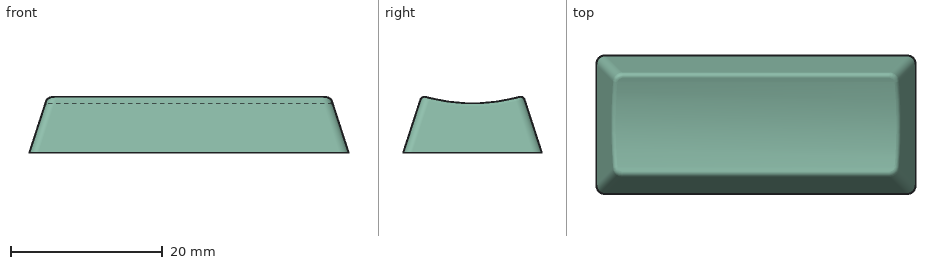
import cadquery as cq

base_length = 42.11
base_width = 18.3
wall_draft = 18.0
corner_radius = 1.25

dish_floor_height = 6.53
dish_radius = 23.0

rim_radius = 0.6

blank_height = 9.0


def tapered_blank():
    """Block with drafted walls and rounded corner edges."""
    block = (
        cq.Workplane("XY")
        .rect(base_length, base_width)
        .extrude(blank_height, taper=wall_draft)
    )
    return block.edges("not(#Z)").fillet(corner_radius)


def dish_cutter():
    """Cylinder that hollows the top."""
    circle_plane = cq.Plane(
        origin=(-base_length / 2, 0, dish_floor_height + dish_radius),
        normal=(1, 0, 0),
    )
    return cq.Workplane(circle_plane).circle(dish_radius).extrude(base_length)


def round_rim(body):
    """Round all the edges that border the dish."""
    dish_center = (0, 0, dish_floor_height)
    dish_faces = body.faces(cq.selectors.NearestToPointSelector(dish_center))
    return dish_faces.edges().fillet(rim_radius)


keycap = tapered_blank().cut(dish_cutter())
result = round_rim(keycap)